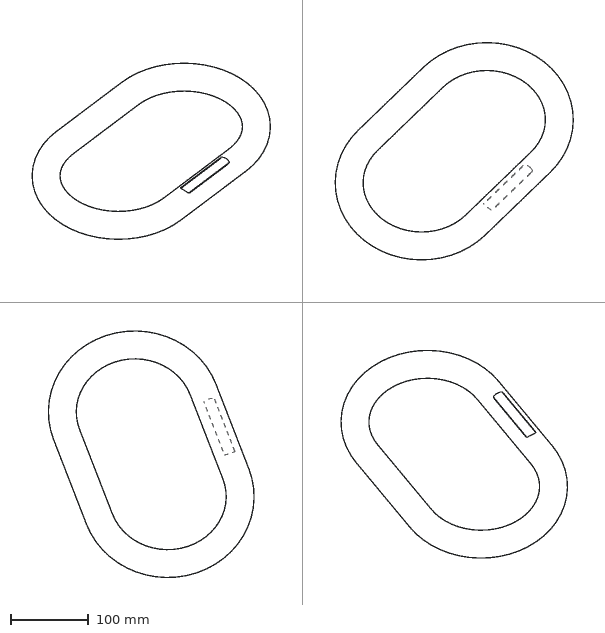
import cadquery as cq

length = 347.0
width = 222.0
bar_diameter = 36.0

recess_width = 14.2
recess_floor_length = 70.0
recess_depth = 3.02
recess_end_radius = 6.0

bar_radius = bar_diameter / 2
bend_radius = (width - bar_diameter) / 2
half_straight = (length - width) / 2


def make_link():
    """Sweep the round bar along a closed oval centreline."""
    centreline = (
        cq.Workplane("XY")
        .moveTo(bend_radius, -half_straight)
        .lineTo(bend_radius, half_straight)
        .threePointArc((0, half_straight + bend_radius), (-bend_radius, half_straight))
        .lineTo(-bend_radius, -half_straight)
        .threePointArc((0, -half_straight - bend_radius), (bend_radius, -half_straight))
        .close()
    )
    return (
        cq.Workplane("XZ", origin=(bend_radius, -half_straight, 0))
        .circle(bar_radius)
        .sweep(centreline)
    )


def make_recess_cutter():
    """Block over the flat floor, with concave ends that curve up from it tangentially."""
    block_height = 2 * recess_end_radius
    block_length = recess_floor_length + 2 * recess_end_radius
    return (
        cq.Workplane("XY", origin=(bend_radius, 0, bar_radius - recess_depth))
        .box(recess_width, block_length, block_height, centered=(True, True, False))
        .faces("<Z")
        .edges("|X")
        .fillet(recess_end_radius)
    )


result = make_link().cut(make_recess_cutter())